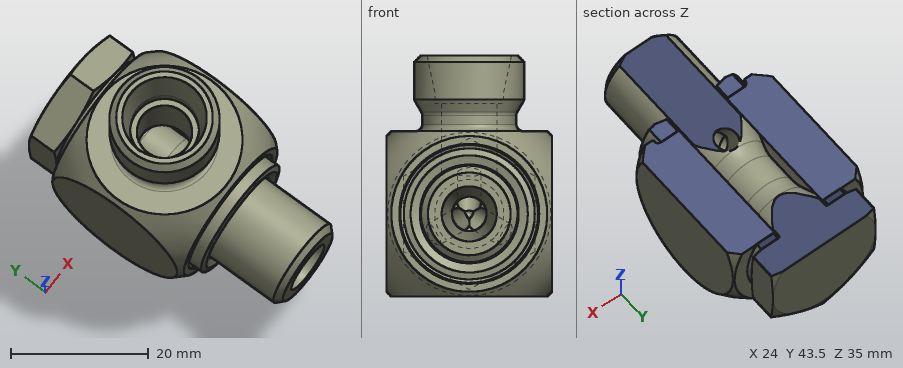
import cadquery as cq
import math


BLOCK_WIDTH = 24.0
BLOCK_FRONT_Y = -BLOCK_WIDTH / 2
BLOCK_BACK_Y = 11.5
BLOCK_TOP_Z = BLOCK_WIDTH / 2
FACE_CIRCLE_RADIUS = 11.3
ROUNDING_RADIUS = math.hypot(BLOCK_WIDTH / 2, FACE_CIRCLE_RADIUS)
HOUSING_BORE_DIAMETER = 14.1

RECESS_DIAMETER = 20.0
RECESS_DEPTH = 1.0
RECESS_FLOOR_Y = BLOCK_FRONT_Y + RECESS_DEPTH
RECESS_FILLET = 0.5
RECESS_RIM_CHAMFER = 0.152

BRANCH_DIAMETER = 16.0
BRANCH_TOP_Z = 23.0
BRANCH_CHAMFER = 1.0
BRANCH_THREAD_LENGTH = 6.45
NECK_DIAMETER = 13.7
NECK_CONE_ANGLE = 30.0
NECK_FILLET = 1.0
CONE_SEAT_MOUTH_DIAMETER = 12.25
CONE_SEAT_ANGLE = 12.0
PIPE_SOCKET_DIAMETER = 10.0
PIPE_SOCKET_DEPTH = 7.0
PORT_DIAMETER = 8.0

HEX_ACROSS_FLATS = 19.0
HEX_THICKNESS = 5.0
HEX_CHAMFER_ANGLE = 15.0
WASHER_THICKNESS = 1.0
HEAD_BASE_Y = BLOCK_BACK_Y + WASHER_THICKNESS
HEAD_END_Y = HEAD_BASE_Y + HEX_THICKNESS
BOLT_TIP_Y = -26.0
SHANK_DIAMETER = 14.0
SHANK_CHAMFER = 1.0
WAIST_DIAMETER = 10.0
WAIST_FRONT_Y = -0.65
WAIST_BACK_Y = 4.0
WAIST_FILLET = 8.0
WAIST_CONE_ANGLE = 20.0

INLET_DIAMETER = 8.0
INLET_TAPER_ANGLE = 12.0
PASSAGE_DIAMETER = 5.0
DRILL_POINT_ANGLE = 118.0
CROSS_HOLE_DIAMETER = 3.5
CROSS_HOLE_COUNT = 3
CROSS_HOLE_AXIS_Y = -8.6
CROSS_HOLE_ANGLE = 60.0
PASSAGE_APEX_OFFSET = 2.55
PASSAGE_APEX_Y = CROSS_HOLE_AXIS_Y + PASSAGE_APEX_OFFSET

SEAL_DIAMETER = 19.0
WASHER_BORE_DIAMETER = 14.4
RING_BORE_DIAMETER = 14.35
RING_FRONT_Y = -14.0
RING_LIP_DIAMETER = 17.0
RING_CHAMFER_LENGTH = 0.25
RING_FLARE_LENGTH = 0.45


def cylinder_y(diameter, start_y, end_y):
    """Solid cylinder on the bolt axis from start_y to end_y."""
    return (
        cq.Workplane("XZ", origin=(0, start_y, 0))
        .circle(diameter / 2)
        .extrude(start_y - end_y)
    )


def cylinder_z(diameter, start_z, end_z):
    """Solid cylinder on the branch axis from start_z to end_z."""
    return (
        cq.Workplane("XY", origin=(0, 0, start_z))
        .circle(diameter / 2)
        .extrude(end_z - start_z)
    )


def revolve_about_y(profile):
    """Turn a closed (radius, y) profile about the bolt axis."""
    return profile.close().revolve(360, (0, 0, 0), (0, 1, 0))


def block():
    """Square block whose edges and corners are rounded by a sphere about the origin."""
    length = BLOCK_BACK_Y - BLOCK_FRONT_Y
    middle_y = (BLOCK_BACK_Y + BLOCK_FRONT_Y) / 2
    box = cq.Workplane("XY").box(BLOCK_WIDTH, length, BLOCK_WIDTH).translate((0, middle_y, 0))
    return box.intersect(cq.Workplane("XY").sphere(ROUNDING_RADIUS))


def branch():
    """Threaded end, undercut cone and neck, with a fillet at each end of the neck."""
    branch_radius = BRANCH_DIAMETER / 2
    neck_radius = NECK_DIAMETER / 2
    thread_end_z = BRANCH_TOP_Z - BRANCH_THREAD_LENGTH
    cone_angle = math.radians(NECK_CONE_ANGLE)
    cone_end_z = thread_end_z - (branch_radius - neck_radius) / math.tan(cone_angle)
    tangent = NECK_FILLET * math.tan(cone_angle / 2)
    fillet_low_z = cone_end_z - tangent
    fillet_centre_r = neck_radius + NECK_FILLET

    def upper_fillet_point(angle):
        r = fillet_centre_r - NECK_FILLET * math.cos(angle)
        return r, fillet_low_z + NECK_FILLET * math.sin(angle)

    base_fillet_z = BLOCK_TOP_Z + NECK_FILLET
    base_mid_r = fillet_centre_r - NECK_FILLET * math.sqrt(0.5)
    base_mid_z = base_fillet_z - NECK_FILLET * math.sqrt(0.5)
    return (
        cq.Workplane("XZ")
        .moveTo(0, 0)
        .lineTo(fillet_centre_r, 0)
        .lineTo(fillet_centre_r, BLOCK_TOP_Z)
        .threePointArc((base_mid_r, base_mid_z), (neck_radius, base_fillet_z))
        .lineTo(neck_radius, fillet_low_z)
        .threePointArc(upper_fillet_point(cone_angle / 2), upper_fillet_point(cone_angle))
        .lineTo(branch_radius, thread_end_z)
        .lineTo(branch_radius, BRANCH_TOP_Z - BRANCH_CHAMFER)
        .lineTo(branch_radius - BRANCH_CHAMFER, BRANCH_TOP_Z)
        .lineTo(0, BRANCH_TOP_Z)
        .close()
        .revolve(360, (0, 0, 0), (0, 1, 0))
    )


def branch_port():
    """Cone seat, pipe socket and port hole that opens into the housing bore."""
    mouth_radius = CONE_SEAT_MOUTH_DIAMETER / 2
    socket_radius = PIPE_SOCKET_DIAMETER / 2
    seat_depth = (mouth_radius - socket_radius) / math.tan(math.radians(CONE_SEAT_ANGLE))
    seat = (
        cq.Workplane("XY", origin=(0, 0, BRANCH_TOP_Z))
        .circle(mouth_radius)
        .extrude(-seat_depth, taper=CONE_SEAT_ANGLE)
    )
    socket = cylinder_z(PIPE_SOCKET_DIAMETER, BRANCH_TOP_Z - PIPE_SOCKET_DEPTH, BRANCH_TOP_Z)
    port = cylinder_z(PORT_DIAMETER, 0, BRANCH_TOP_Z)
    return seat.union(socket).union(port)


def ring_recess():
    """Recess with a rounded floor edge and a chamfered rim."""
    recess = cylinder_y(RECESS_DIAMETER, RECESS_FLOOR_Y, BLOCK_FRONT_Y)
    recess = recess.faces(">Y").edges().fillet(RECESS_FILLET)
    rim = (
        cq.Workplane("XZ", origin=(0, BLOCK_FRONT_Y, 0))
        .circle(RECESS_DIAMETER / 2 + RECESS_RIM_CHAMFER)
        .extrude(-RECESS_RIM_CHAMFER, taper=45)
    )
    return recess.union(rim)


def make_housing():
    bore = cylinder_y(HOUSING_BORE_DIAMETER, BLOCK_BACK_Y, BLOCK_FRONT_Y)
    return block().union(branch()).cut(bore).cut(ring_recess()).cut(branch_port())


def bolt_head():
    """Hexagon with corners toward +Z and -Z, chamfered on both faces by a cone."""
    corner_radius = HEX_ACROSS_FLATS / 2 / math.cos(math.pi / 6)
    flat_radius = HEX_ACROSS_FLATS / 2
    drop = (corner_radius - flat_radius) * math.tan(math.radians(HEX_CHAMFER_ANGLE))
    hexagon = (
        cq.Workplane("XZ", origin=(0, HEAD_BASE_Y, 0))
        .transformed(rotate=(0, 0, 90))
        .polygon(6, 2 * corner_radius)
        .extrude(-HEX_THICKNESS)
    )
    envelope = revolve_about_y(
        cq.Workplane("XY")
        .moveTo(0, HEAD_BASE_Y)
        .lineTo(flat_radius, HEAD_BASE_Y)
        .lineTo(corner_radius, HEAD_BASE_Y + drop)
        .lineTo(corner_radius, HEAD_END_Y - drop)
        .lineTo(flat_radius, HEAD_END_Y)
        .lineTo(0, HEAD_END_Y)
    )
    return hexagon.intersect(envelope)


def bolt_shank():
    """Shank with a chamfered tip and a waist that flares to full size at both ends."""
    shank_radius = SHANK_DIAMETER / 2
    fillet_centre_r = WAIST_DIAMETER / 2 + WAIST_FILLET
    cone_angle = math.radians(WAIST_CONE_ANGLE)

    def flare_point(angle):
        """Radius and distance from the end of the waist, along the flare fillet."""
        return fillet_centre_r - WAIST_FILLET * math.cos(angle), WAIST_FILLET * math.sin(angle)

    flare_mid_r, flare_mid = flare_point(cone_angle / 2)
    flare_end_r, flare_end = flare_point(cone_angle)
    flare_length = flare_end + (shank_radius - flare_end_r) / math.tan(cone_angle)
    return revolve_about_y(
        cq.Workplane("XY")
        .moveTo(0, BOLT_TIP_Y)
        .lineTo(shank_radius - SHANK_CHAMFER, BOLT_TIP_Y)
        .lineTo(shank_radius, BOLT_TIP_Y + SHANK_CHAMFER)
        .lineTo(shank_radius, WAIST_FRONT_Y - flare_length)
        .lineTo(flare_end_r, WAIST_FRONT_Y - flare_end)
        .threePointArc(
            (flare_mid_r, WAIST_FRONT_Y - flare_mid), (WAIST_DIAMETER / 2, WAIST_FRONT_Y)
        )
        .lineTo(WAIST_DIAMETER / 2, WAIST_BACK_Y)
        .threePointArc(
            (flare_mid_r, WAIST_BACK_Y + flare_mid), (flare_end_r, WAIST_BACK_Y + flare_end)
        )
        .lineTo(shank_radius, WAIST_BACK_Y + flare_length)
        .lineTo(shank_radius, HEAD_BASE_Y)
        .lineTo(0, HEAD_BASE_Y)
    )


def bolt_bore():
    """Blind bore from the tip: a tapered inlet, then a passage ending in a drill cone."""
    inlet_radius = INLET_DIAMETER / 2
    passage_radius = PASSAGE_DIAMETER / 2
    inlet_length = (inlet_radius - passage_radius) / math.tan(math.radians(INLET_TAPER_ANGLE))
    drill_cone_length = passage_radius / math.tan(math.radians(DRILL_POINT_ANGLE / 2))
    return revolve_about_y(
        cq.Workplane("XY")
        .moveTo(0, BOLT_TIP_Y)
        .lineTo(inlet_radius, BOLT_TIP_Y)
        .lineTo(passage_radius, BOLT_TIP_Y + inlet_length)
        .lineTo(passage_radius, PASSAGE_APEX_Y - drill_cone_length)
        .lineTo(0, PASSAGE_APEX_Y)
    )


def cross_hole(turn):
    """Slanted hole from the bolt axis out and back to the waist flare, turned about the axis."""
    return (
        cq.Workplane("XY")
        .circle(CROSS_HOLE_DIAMETER / 2)
        .extrude(SHANK_DIAMETER)
        .rotate((0, 0, 0), (1, 0, 0), CROSS_HOLE_ANGLE - 90)
        .translate((0, CROSS_HOLE_AXIS_Y, 0))
        .rotate((0, 0, 0), (0, 1, 0), turn)
    )


def make_bolt():
    bolt = bolt_head().union(bolt_shank()).cut(bolt_bore())
    for index in range(CROSS_HOLE_COUNT):
        bolt = bolt.cut(cross_hole(index * 360 / CROSS_HOLE_COUNT))
    return bolt


def make_washer():
    """Flat washer between the bolt head and the back of the housing."""
    washer = cylinder_y(SEAL_DIAMETER, BLOCK_BACK_Y, HEAD_BASE_Y)
    return washer.cut(cylinder_y(WASHER_BORE_DIAMETER, BLOCK_BACK_Y, HEAD_BASE_Y))


def make_sealing_ring():
    """Ring in the front recess, with a sharp lip between an outer chamfer and a flared bore."""
    return revolve_about_y(
        cq.Workplane("XY")
        .moveTo(RING_BORE_DIAMETER / 2, RECESS_FLOOR_Y)
        .lineTo(SEAL_DIAMETER / 2, RECESS_FLOOR_Y)
        .lineTo(SEAL_DIAMETER / 2, RING_FRONT_Y + RING_CHAMFER_LENGTH)
        .lineTo(RING_LIP_DIAMETER / 2, RING_FRONT_Y)
        .lineTo(RING_BORE_DIAMETER / 2, RING_FRONT_Y + RING_FLARE_LENGTH)
    )


housing = make_housing()
bolt = make_bolt()
washer = make_washer()
sealing_ring = make_sealing_ring()

result = cq.Compound.makeCompound(
    [housing.val(), bolt.val(), washer.val(), sealing_ring.val()]
)